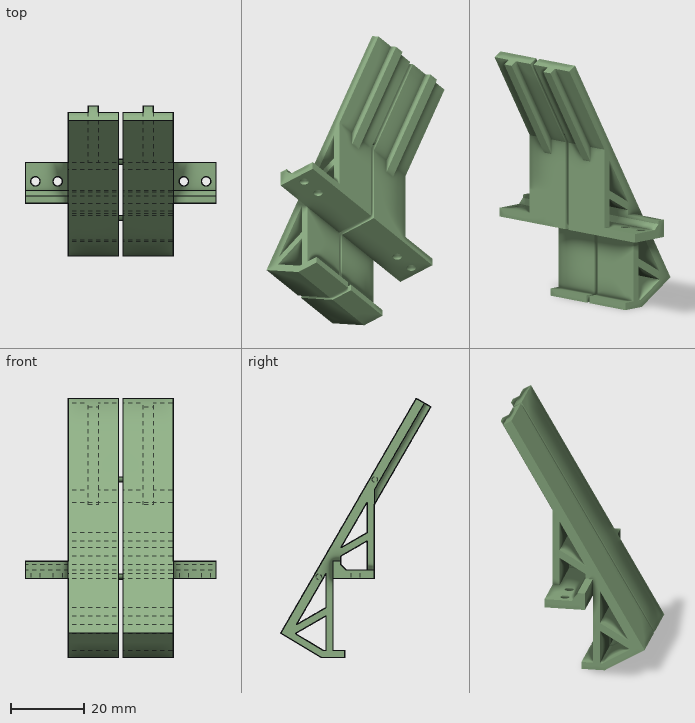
import cadquery as cq
import math


module_width = 13.8
module_gap = 1.2
module_pitch = module_width + module_gap

panel_angle = math.radians(60)
panel_length = 74.2
panel_thickness = 2.6
toe_y = -14.4
foot_bottom_z = -21.6
toe_rise = 6.68
toe_z = foot_bottom_z + toe_rise

rib_width = 2.8
rib_height = 2.04

bar_length = 52.2
bar_depth = 11.25
bar_thickness = 2.4
lip_height = 4.8
lip_thickness = 2.1
lip_bevel = 1.5

wall_thickness = 2.0
strut_thickness = 2.0
upper_strut_z = 12.6
lower_strut_z = -7.9
foot_thickness = 2.0
foot_rear_y = 3.2
foot_bend_y = -3.25

hole_diameter = 2.5
hole_spacing = 6.1
hole_end_distance = 2.75
hole_y = 6.05

pin_diameter = 1.5
pin_positions = (18.6, 49.3)

slope_cos = math.cos(panel_angle)
slope_sin = math.sin(panel_angle)
slope_tan = math.tan(panel_angle)
strut_slope = 1 / slope_tan
strut_drop = strut_thickness / slope_sin
panel_back_y = toe_y + panel_thickness / slope_sin
upper_wall_y = bar_depth - wall_thickness
lower_wall_y = -wall_thickness
foot_top_z = foot_bottom_z + foot_thickness
chin_slope = toe_rise / (foot_bend_y - toe_y)
chin_height = foot_thickness * math.hypot(1, chin_slope)
module_centers = (-module_pitch / 2, module_pitch / 2)


def panel_point(along, behind):
    """(Y, Z) of a point up the panel from its toe and behind its front face."""
    y = toe_y + along * slope_cos + behind * slope_sin
    z = toe_z + along * slope_sin - behind * slope_cos
    return (y, z)


def panel_back_z(y):
    """Height of the rear face of the panel at a given Y."""
    return toe_z + (y - panel_back_y) * slope_tan


def strut_panel_point(wall_y, wall_z):
    """Where a strut edge starting at (wall_y, wall_z) meets the rear of the panel."""
    run = (panel_back_z(wall_y) - wall_z) / (slope_tan - strut_slope)
    return (wall_y - run, wall_z - run * strut_slope)


def extrude_profile(points, width, center_x):
    """Extrude a (Y, Z) polygon along X, centred on center_x."""
    plane = cq.Workplane("YZ", origin=(center_x, 0, 0))
    return plane.polyline(points).close().extrude(width / 2, both=True)


def frame_outline():
    """Outer side profile of a module: panel, both walls, bar section and foot."""
    return [
        panel_point(0, 0),
        panel_point(panel_length, 0),
        panel_point(panel_length, panel_thickness),
        (bar_depth, panel_back_z(bar_depth)),
        (bar_depth, 0),
        (0, 0),
        (0, foot_top_z),
        (foot_rear_y, foot_top_z),
        (foot_rear_y, foot_bottom_z),
        (foot_bend_y, foot_bottom_z),
    ]


def window_above_strut(wall_y, strut_z):
    """Triangular opening between a wall, the panel and the top of a strut."""
    return [
        (wall_y, panel_back_z(wall_y)),
        (wall_y, strut_z),
        strut_panel_point(wall_y, strut_z),
    ]


def window_over_bar():
    """Opening between the upper strut, the upper wall and the bar."""
    strut_underside_z = upper_strut_z - strut_drop
    lip_strut_z = strut_underside_z - (upper_wall_y - lip_thickness) * strut_slope
    return [
        (upper_wall_y, strut_underside_z),
        (upper_wall_y, bar_thickness),
        (lip_thickness + lip_bevel, bar_thickness),
        (lip_thickness, bar_thickness + lip_bevel),
        (lip_thickness, lip_strut_z),
    ]


def window_over_foot():
    """Opening between the lower strut, the lower wall, the foot and the chin."""
    strut_underside_z = lower_strut_z - strut_drop
    inner_bend_y = foot_bend_y + (chin_height - foot_thickness) / chin_slope
    bend_strut_z = strut_underside_z - (lower_wall_y - inner_bend_y) * strut_slope
    tip_run = (bend_strut_z - foot_top_z) / (strut_slope + chin_slope)
    return [
        (lower_wall_y, strut_underside_z),
        (lower_wall_y, foot_top_z),
        (inner_bend_y, foot_top_z),
        (inner_bend_y - tip_run, foot_top_z + tip_run * chin_slope),
    ]


def rear_rib(center_x):
    """Rib down the rear of the panel, ending at the back of the upper wall."""
    rib_back = panel_thickness + rib_height
    rib_end_z = panel_back_z(bar_depth) - rib_height / slope_cos
    outline = [
        panel_point(panel_length, panel_thickness),
        panel_point(panel_length, rib_back),
        (bar_depth, rib_end_z),
        (bar_depth, panel_back_z(bar_depth)),
    ]
    return extrude_profile(outline, rib_width, center_x)


def module(center_x):
    """One panel with its windowed supporting frame and rear rib."""
    body = extrude_profile(frame_outline(), module_width, center_x)
    windows = (
        window_above_strut(upper_wall_y, upper_strut_z),
        window_over_bar(),
        window_above_strut(lower_wall_y, lower_strut_z),
        window_over_foot(),
    )
    for window in windows:
        body = body.cut(extrude_profile(window, module_width, center_x))
    return body.union(rear_rib(center_x))


def bar_end(side):
    """Drilled length of bar outside a module; side is -1 for left, +1 for right."""
    inner_x = module_pitch / 2 + module_width / 2
    end_x = bar_length / 2
    outline = [
        (0, 0),
        (bar_depth, 0),
        (bar_depth, bar_thickness),
        (lip_thickness + lip_bevel, bar_thickness),
        (lip_thickness, bar_thickness + lip_bevel),
        (lip_thickness, lip_height),
        (0, lip_height),
    ]
    bar = extrude_profile(outline, end_x - inner_x, side * (inner_x + end_x) / 2)
    outer_hole_x = side * (end_x - hole_end_distance)
    inner_hole_x = outer_hole_x - side * hole_spacing
    hole_centers = [(outer_hole_x, hole_y), (inner_hole_x, hole_y)]
    holes = cq.Workplane("XY").pushPoints(hole_centers).circle(hole_diameter / 2).extrude(bar_thickness)
    return bar.cut(holes)


def joining_pins():
    """Pins across the gap, centred in the thickness of the panels."""
    centers = [panel_point(along, panel_thickness / 2) for along in pin_positions]
    plane = cq.Workplane("YZ").pushPoints(centers)
    return plane.circle(pin_diameter / 2).extrude(module_gap / 2, both=True)


result = joining_pins()
for module_center in module_centers:
    result = result.union(module(module_center))
for bar_side in (-1, 1):
    result = result.union(bar_end(bar_side))